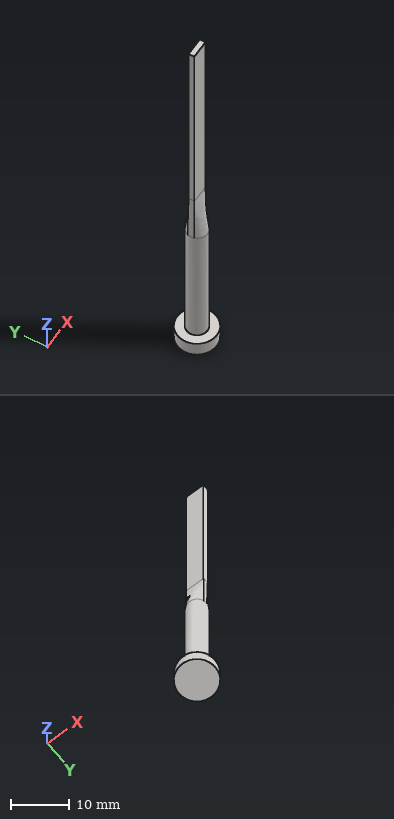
import cadquery as cq

total_height = 80.0
head_height = 3.0
shaft_top = 30.0
blade_bottom = 40.0

head_diameter = 8.0
shaft_diameter = 4.2
blade_width = 3.8
blade_thickness = 1.2


def cylinder(diameter, bottom, top):
    return cq.Workplane("XY").workplane(offset=bottom).circle(diameter / 2).extrude(top - bottom)


def blade(bottom, top):
    return (
        cq.Workplane("XY")
        .workplane(offset=bottom)
        .rect(blade_width, blade_thickness)
        .extrude(top - bottom)
    )


def transition():
    """Loft from the round shaft to the rectangular blade."""
    return (
        cq.Workplane("XY")
        .workplane(offset=shaft_top)
        .circle(shaft_diameter / 2)
        .workplane(offset=blade_bottom - shaft_top)
        .rect(blade_width, blade_thickness)
        .loft(ruled=True)
    )


head = cylinder(head_diameter, 0, head_height)
shaft = cylinder(shaft_diameter, head_height, shaft_top)
result = head.union(shaft).union(transition()).union(blade(blade_bottom, total_height))